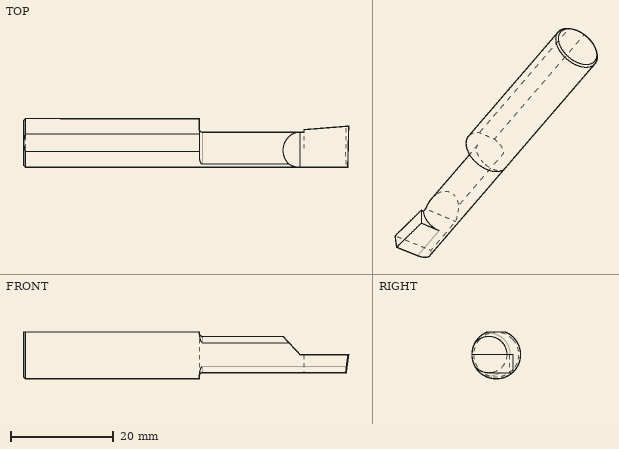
import cadquery as cq
import math

total_length = 63.5
shank_length = 34.3
shank_radius = 4.75
flat_height = 4.45
end_chamfer = 0.4

neck_radius = 3.55
neck_offset = -1.45
neck_fillet = 0.65

rake_height = 0
ramp_end = 54
ramp_angle = 47
head_start = 54.75
head_start_y = 2.6
tip_y = 3.3
end_relief_angle = 8
end_skew = 0.2


def bar(radius, length):
    return cq.Workplane("YZ").circle(radius).extrude(length)


def make_shank():
    shank = bar(shank_radius, shank_length).faces("<X").chamfer(end_chamfer)
    above_flat = cq.Workplane("XY").box(
        shank_length, 2 * shank_radius, shank_radius, centered=(False, True, False)
    )
    return shank.cut(above_flat.translate((0, 0, flat_height)))


def make_neck():
    fillet_mid = neck_fillet * (1 - math.sqrt(0.5))
    neck = (
        cq.Workplane("XY")
        .moveTo(shank_length, 0)
        .lineTo(shank_length, neck_radius + neck_fillet)
        .threePointArc(
            (shank_length + fillet_mid, neck_radius + fillet_mid),
            (shank_length + neck_fillet, neck_radius),
        )
        .lineTo(total_length, neck_radius)
        .lineTo(total_length, 0)
        .close()
        .revolve(360, (0, 0, 0), (1, 0, 0))
    )
    return neck.translate((0, neck_offset, 0))


def make_head():
    return (
        cq.Workplane("XY", origin=(0, 0, -neck_radius))
        .moveTo(head_start, neck_offset)
        .lineTo(head_start, head_start_y)
        .lineTo(total_length, tip_y)
        .lineTo(total_length, neck_offset)
        .close()
        .extrude(neck_radius + rake_height)
    )


def make_rake_cut():
    clearance = 2 * shank_radius
    ramp_run = clearance / math.tan(math.radians(ramp_angle))
    return (
        cq.Workplane("XZ")
        .moveTo(ramp_end, rake_height)
        .lineTo(total_length, rake_height)
        .lineTo(total_length, rake_height + clearance)
        .lineTo(ramp_end - ramp_run, rake_height + clearance)
        .close()
        .extrude(shank_radius, both=True)
    )


def make_end_cut():
    depth = shank_radius
    setback = depth * math.tan(math.radians(end_relief_angle))
    skew_angle = math.degrees(math.atan(end_skew / (tip_y + shank_radius)))
    wedge = (
        cq.Workplane("XZ")
        .moveTo(0, 0)
        .lineTo(-setback, -depth)
        .lineTo(depth, -depth)
        .lineTo(depth, 0)
        .close()
        .extrude(2 * shank_radius, both=True)
    )
    wedge = wedge.rotate((0, 0, 0), (0, 0, 1), -skew_angle)
    return wedge.translate((total_length, tip_y, rake_height))


tool_end = make_neck().union(make_head()).intersect(bar(shank_radius, total_length))
tool_end = tool_end.cut(make_rake_cut()).cut(make_end_cut())
result = make_shank().union(tool_end)